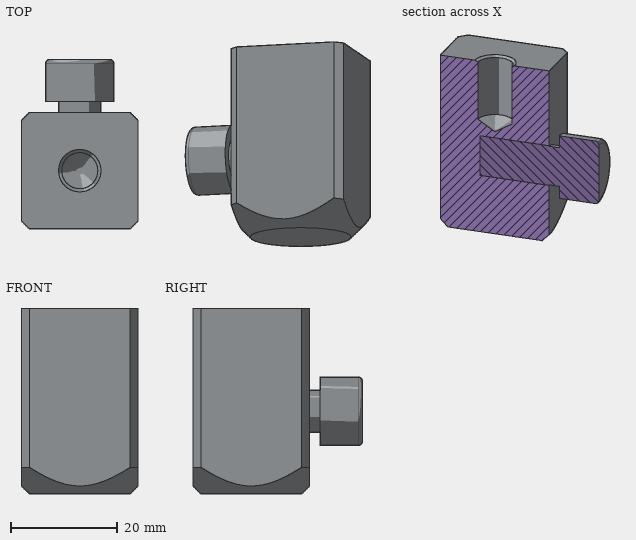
import cadquery as cq
import math

block_width = 22.0
block_height = 35.0
edge_chamfer = 1.5

thread_diameter = 8.0
core_diameter = 6.8
core_depth = 12.0
drill_tip_angle = 118.0
countersink_angle = 120.0

screw_height = 15.6
shank_length = 16.0
head_diameter = 12.9
head_length = 8.0
head_fillet = 0.8
head_gap = 2.0

half_width = block_width / 2
head_seat_y = half_width + head_gap


def nose_envelope():
    """Revolved envelope whose 45 degree cone trims the lower end of the block."""
    foot_radius = half_width - edge_chamfer
    envelope_radius = block_width
    cone_height = envelope_radius - foot_radius
    return (
        cq.Workplane("XZ")
        .moveTo(0, 0)
        .lineTo(foot_radius, 0)
        .lineTo(envelope_radius, cone_height)
        .lineTo(envelope_radius, block_height)
        .lineTo(0, block_height)
        .close()
        .revolve(360, (0, 0), (0, 1))
    )


def top_hole():
    """Countersunk blind hole with a conical drill tip, on the Z axis."""
    core_radius = core_diameter / 2
    mouth_radius = thread_diameter / 2
    countersink_depth = (mouth_radius - core_radius) / math.tan(math.radians(countersink_angle / 2))
    core_bottom = block_height - core_depth
    tip_depth = core_radius / math.tan(math.radians(drill_tip_angle / 2))
    return (
        cq.Workplane("XZ")
        .moveTo(0, block_height)
        .lineTo(mouth_radius, block_height)
        .lineTo(core_radius, block_height - countersink_depth)
        .lineTo(core_radius, core_bottom)
        .lineTo(0, core_bottom - tip_depth)
        .close()
        .revolve(360, (0, 0), (0, 1))
    )


def screw_shank():
    """Plain shank running from the head seat toward -Y into the block."""
    return (
        cq.Workplane("XZ", origin=(0, head_seat_y, screw_height))
        .circle(thread_diameter / 2)
        .extrude(shank_length)
    )


def make_block():
    bar = (
        cq.Workplane("XY")
        .rect(block_width, block_width)
        .extrude(block_height)
        .edges("|Z")
        .chamfer(edge_chamfer)
    )
    return bar.intersect(nose_envelope()).cut(top_hole()).cut(screw_shank())


def make_screw():
    head = (
        cq.Workplane("XZ", origin=(0, head_seat_y, screw_height))
        .circle(head_diameter / 2)
        .extrude(-head_length)
        .faces(">Y")
        .edges()
        .fillet(head_fillet)
    )
    return head.union(screw_shank())


block = make_block()
screw = make_screw()

result = cq.Compound.makeCompound([block.val(), screw.val()])